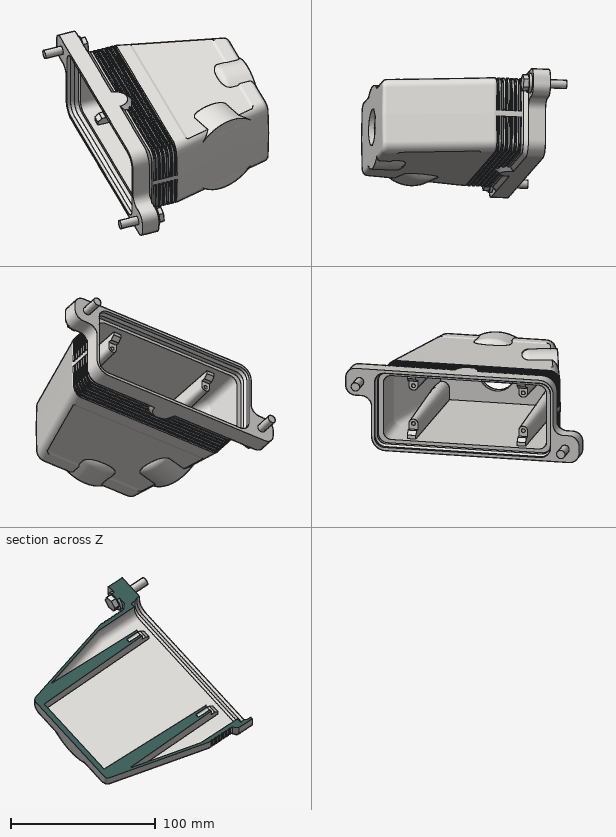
import cadquery as cq
import math


flange_half_x = 64.4
half_z = 29.0
flange_corner = 10.0
flange_top = 12.0
flare = 3.0
ear_half_x = 82.8
ear_inner_z = 9.6
ear_corner = 7.1

body_half_x = 61.4
body_half_z = 26.3
shoulder_y = 35.1
top_y = 110.0
lean = 15.0
draft = 1.0
side_round = 7.0
top_round = 3.3

panel_start = 43.0
panel_end = 99.1
panel_step = 1.7
panel_depth = 0.5

groove_count = 6
groove_first = 17.5
groove_pitch = 3.06
groove_mouth = 2.3
groove_floor = 0.8
groove_depth = 0.7
groove_gap_half_z = 2.2
groove_taper = math.degrees(math.atan2(2 * groove_depth, groove_mouth - groove_floor))

entry_radius = half_z
entry_round = 6.6
entry_start = 86.0
entry_end = 109.5
entry_bore = 12.5
side_entry_x = 25.5
side_entry_y = 68.2
side_entry_length = 25.7

bump_tip_radius = 8.1
bump_height = 3.8

side_wall = 2.5
cavity_shoulder_y = 40.0
cavity_end = 106.0
cavity_mouth_x = 58.0
cavity_mouth_z = 23.2
cavity_end_z = 21.0
cavity_round = 5.8
seal_slope_start = 2.5
seal_slope_end = 5.0
seal_depth = 8.1
seal_half_x = 62.4
seal_half_z = 26.6
seal_corner = 7.5
seal_narrowing = 1.2

post_x = 38.9
post_z = 13.5
post_half_width = 3.0
post_draft = 1.5
post_face_y = 18.5
post_slope_y = 15.5
post_tip_y = 12.5
post_slope_z = 17.7
post_tip_z = 20.4
post_root_z = 23.5
post_hole_radius = 1.3
post_hole_depth = 10.0

screw_x = 72.8
screw_z = 19.5
pin_radius = 3.0
pin_length = 12.9
washer_radius = 6.8
washer_height = 2.0
head_radius = 5.6
head_height = 3.8
head_turn = -15.0

lean_slope = math.tan(math.radians(lean))


def side_x(y):
    """Half width of the hood at height y above the shoulder."""
    return body_half_x - (y - shoulder_y) * lean_slope


def plane_at(y):
    """Sketch plane facing +Y; local x is X and local y is -Z."""
    return cq.Workplane(cq.Plane(origin=(0, y, 0), xDir=(1, 0, 0), normal=(0, 1, 0)))


def rounded_block(y, half_x, half_depth, corner, height, taper=0):
    sketch = cq.Sketch().rect(2 * half_x, 2 * half_depth).vertices().fillet(corner)
    return plane_at(y).placeSketch(sketch).extrude(height, taper=taper)


def make_ear():
    """Ear on the -X, +Z corner, with the concave round where it meets the flange."""
    neck_x = -flange_half_x - ear_corner
    neck_z = ear_inner_z - ear_corner
    ear = (
        plane_at(0)
        .moveTo(0, -half_z)
        .lineTo(-ear_half_x + ear_corner, -half_z)
        .radiusArc((-ear_half_x, -half_z + ear_corner), ear_corner)
        .lineTo(-ear_half_x, -ear_inner_z - ear_corner)
        .radiusArc((-ear_half_x + ear_corner, -ear_inner_z), ear_corner)
        .lineTo(neck_x, -ear_inner_z)
        .radiusArc((-flange_half_x, -neck_z), -ear_corner)
        .lineTo(0, -neck_z)
        .close()
        .extrude(flange_top)
    )
    return ear


def make_flange():
    block = rounded_block(0, flange_half_x, half_z, flange_corner, flange_top + flare)
    block = block.faces(">Y").chamfer(flare)
    ear = make_ear()
    return block.union(ear).union(ear.rotate((0, 0, 0), (0, 1, 0), 180))


def make_hood():
    """Two drafted halves that meet on the parting plane z = 0."""
    outline = [
        (-body_half_x, flange_top),
        (body_half_x, flange_top),
        (body_half_x, shoulder_y),
        (side_x(top_y), top_y),
        (-side_x(top_y), top_y),
        (-body_half_x, shoulder_y),
    ]
    half = cq.Workplane("XY").polyline(outline).close().extrude(body_half_z, taper=draft)
    side_edges = half.faces(">Z").edges("not |X")
    half = half.newObject(side_edges.vals()).fillet(side_round)
    rim = [
        edge for edge in half.faces(">Y").edges().vals()
        if edge.Center().z > 0.2
    ]
    half = half.newObject(rim).fillet(top_round)
    return half.union(half.mirror("XY"))


def cut_panels(body):
    """Sink the shallow panel with sloped ends into both broad faces."""
    floor_z = body_half_z - panel_depth
    profile = [
        (panel_start, body_half_z),
        (panel_start + panel_step, floor_z),
        (panel_end - panel_step, floor_z),
        (panel_end, body_half_z),
    ]
    panel = (
        cq.Workplane("YZ")
        .polyline(profile)
        .close()
        .extrude(flange_half_x, both=True)
    )
    return body.cut(panel).cut(panel.mirror("XY"))


def cut_grooves(body):
    """Cut trapezoid grooves around the foot, leaving a plain strip along the parting plane."""
    strip = cq.Workplane("XY").box(2 * ear_half_x, 2 * top_y, 2 * groove_gap_half_z)
    outer_x = body_half_x + 1.7
    outer_z = body_half_z + 1.7
    floor_x = body_half_x - groove_depth
    floor_z = body_half_z - groove_depth
    slope_run = (groove_mouth - groove_floor) / 2
    for i in range(groove_count):
        start = groove_first + i * groove_pitch - groove_mouth / 2
        ring = cq.Workplane("XY").box(2 * outer_x, groove_mouth, 2 * outer_z)
        ring = ring.translate((0, start + groove_mouth / 2, 0))
        core = rounded_block(
            start + slope_run, floor_x, floor_z, side_round - groove_depth, groove_floor
        )
        lower = rounded_block(
            start, body_half_x, body_half_z, side_round, slope_run, groove_taper
        )
        upper = lower.mirror("XZ", (0, start + groove_mouth / 2, 0))
        body = body.cut(ring.cut(core).cut(lower).cut(upper).cut(strip))
    return body


def make_entry(length):
    """Entry boss along +Y from the origin, rounded at its inner end."""
    return plane_at(0).circle(entry_radius).extrude(length).faces("<Y").edges().fillet(entry_round)


def add_entries(body):
    end_entry = make_entry(entry_end - entry_start).translate((0, entry_start, 0))
    side_entry = (
        make_entry(side_entry_length)
        .rotate((0, 0, 0), (0, 0, 1), lean - 90)
        .translate((side_entry_x, side_entry_y, 0))
    )
    return body.union(end_entry).union(side_entry)


def add_bumps(body):
    """Cone-shaped bumps standing on the flange edge, one on each broad face."""
    base_radius = bump_tip_radius + bump_height
    bump = cq.Workplane(
        cq.Solid.makeCone(
            base_radius,
            bump_tip_radius,
            bump_height,
            cq.Vector(0, flange_top, half_z - bump_height),
            cq.Vector(0, 0, 1),
        )
    )
    return body.union(bump).union(bump.mirror("XY"))


def make_cavity():
    end_x = side_x(cavity_end) - side_wall
    shoulder_x = side_x(cavity_shoulder_y) - side_wall
    plan = [
        (-cavity_mouth_x, 0),
        (cavity_mouth_x, 0),
        (shoulder_x, cavity_shoulder_y),
        (end_x, cavity_end),
        (-end_x, cavity_end),
        (-shoulder_x, cavity_shoulder_y),
    ]
    section = [
        (0, -cavity_mouth_z),
        (cavity_end, -cavity_end_z),
        (cavity_end, cavity_end_z),
        (0, cavity_mouth_z),
    ]
    block = cq.Workplane("XY").polyline(plan).close().extrude(half_z, both=True)
    wedge = cq.Workplane("YZ").polyline(section).close().extrude(flange_half_x, both=True)
    cavity = block.intersect(wedge)
    long_edges = cavity.faces(">Z or <Z").edges("not |X")
    return cavity.newObject(long_edges.vals()).fillet(cavity_round)


def make_seal_recess():
    """Rim recess around the cavity mouth: straight, then sloping inward, then straight."""
    inner = rounded_block(
        0,
        seal_half_x - seal_narrowing,
        seal_half_z - seal_narrowing,
        seal_corner - seal_narrowing,
        seal_depth,
    )
    outer = rounded_block(0, seal_half_x, seal_half_z, seal_corner, seal_slope_start)
    slope_length = seal_slope_end - seal_slope_start
    slope_angle = math.degrees(math.atan2(seal_narrowing, slope_length))
    slope = rounded_block(
        seal_slope_start, seal_half_x, seal_half_z, seal_corner, slope_length, slope_angle
    )
    return inner.union(outer).union(slope)


def make_posts():
    """Four stepped, drafted posts that carry the contact insert."""
    post = (
        plane_at(post_tip_y)
        .moveTo(-post_half_width, -post_root_z)
        .lineTo(post_half_width, -post_root_z)
        .lineTo(post_half_width, -post_z)
        .radiusArc((-post_half_width, -post_z), -post_half_width)
        .close()
        .extrude(cavity_end + 1.7 - post_tip_y, taper=-post_draft)
    )
    step = [
        (post_tip_y, post_tip_z),
        (post_slope_y, post_slope_z),
        (post_face_y, post_slope_z),
        (post_face_y, 0),
        (post_tip_y, 0),
    ]
    notch = cq.Workplane("YZ").polyline(step).close().extrude(2 * post_half_width, both=True)
    hole = (
        plane_at(post_face_y)
        .center(0, -post_z)
        .circle(post_hole_radius)
        .extrude(post_hole_depth)
    )
    post = post.cut(notch).cut(hole).translate((post_x, 0, 0))
    upper = post.union(post.mirror("YZ"))
    return upper.union(upper.mirror("XY"))


def make_screw():
    """Hexagon-head screw on the Y axis, with a washer on top of the ear."""
    washer_top = flange_top + washer_height
    pin = plane_at(-pin_length).circle(pin_radius).extrude(pin_length + flange_top)
    washer = plane_at(flange_top).circle(washer_radius).extrude(washer_height)
    head = (
        plane_at(washer_top)
        .polygon(6, 2 * head_radius)
        .extrude(head_height)
        .rotate((0, 0, 0), (0, 1, 0), -head_turn)
    )
    return pin.union(washer).union(head)


hood = make_flange().union(add_entries(cut_grooves(cut_panels(make_hood()))))
hood = add_bumps(hood).cut(make_cavity().cut(make_posts())).cut(make_seal_recess())
hood = hood.cut(plane_at(entry_start).circle(entry_bore).extrude(top_y))

screw = make_screw()
for sign in (-1, 1):
    hood = hood.union(screw.translate((sign * screw_x, 0, -sign * screw_z)))

result = hood